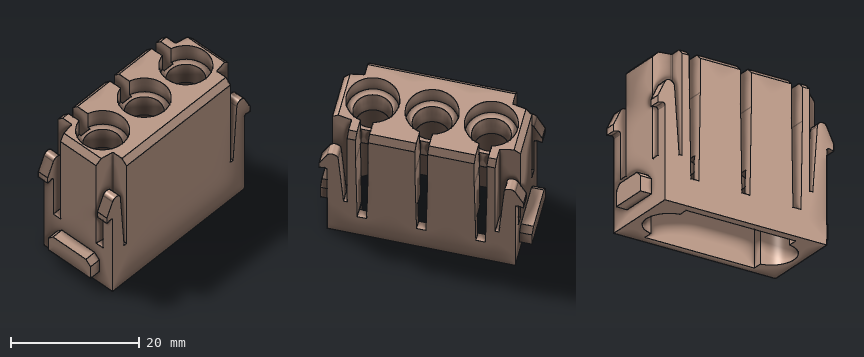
import cadquery as cq
import math

OVERALL_Y = 34.2
BODY_X = 14.65
BODY_Y = 30.15
BODY_Z = 27.1
TOP_CHAMFER = 1.0

CAVITY_PITCH = 9.5
CAVITY_COUNT = 3
BORE_DIAMETER = 8.4
NECK_ENTRY_DIAMETER = 6.22
NECK_DIAMETER = 5.6
NECK_TOP_Z = 23.97
NECK_BOTTOM_Z = 20.2

WALL_THICKNESS = 1.45
POCKET_X = BODY_X - 2 * WALL_THICKNESS
POCKET_Y = 20.4
POCKET_HEIGHT = 9.78

SLOT_DEPTH = 3.65
SLOT_TOP_WIDTH = 2.02
SLOT_BOTTOM_WIDTH = 1.5
SLOT_BOTTOM_Z = 4.9

RELIEF_FLOOR_Z = 8.48
RELIEF_DEPTH_Y = 3.2
RELIEF_ROOT_X = 4.38
RELIEF_MOUTH_X = 3.8
RELIEF_FILLET = 0.17

LATCH_WIDTH = 2.02
LATCH_ROOT_THICKNESS = 2.65
LATCH_NECK_THICKNESS = 1.78
LATCH_NECK_Z = 20.05
LATCH_TOP_Z = 20.93
LATCH_CREST_OFFSET = 0.8
LATCH_SHOULDER_Z = 20.42
HOOK_REACH = 1.3
HOOK_TOP_Z = 17.7
HOOK_BOTTOM_Z = 16.52
HOOK_FILLET = 0.4

FRONT_KEY_WIDTH = 9.0
REAR_KEY_WIDTH = 6.9
KEY_BOTTOM_Z = 2.53
KEY_HEIGHT = 3.63
KEY_CHAMFER = 1.0
KEY_LENGTH = (OVERALL_Y - BODY_Y) / 2

END_Y = BODY_Y / 2
SIDE_X = BODY_X / 2
CAVITY_YS = [(i - (CAVITY_COUNT - 1) / 2) * CAVITY_PITCH for i in range(CAVITY_COUNT)]


def four_corners(solid):
    """Copies of a solid from the +X +Y corner, mirrored to every corner."""
    pair = solid.union(solid.mirror("YZ"))
    return pair.union(pair.mirror("XZ"))


def block():
    solid = cq.Workplane("XY").box(BODY_X, BODY_Y, BODY_Z, centered=(True, True, False))
    return solid.faces(">Z").chamfer(TOP_CHAMFER)


def corner_relief():
    inner_y = END_Y - RELIEF_DEPTH_Y
    relief = (
        cq.Workplane("XY")
        .workplane(offset=RELIEF_FLOOR_Z)
        .moveTo(RELIEF_ROOT_X, inner_y)
        .lineTo(SIDE_X, inner_y)
        .lineTo(SIDE_X, END_Y)
        .lineTo(RELIEF_MOUTH_X, END_Y)
        .close()
        .extrude(BODY_Z - RELIEF_FLOOR_Z)
    )
    root_corner = cq.selectors.NearestToPointSelector((RELIEF_ROOT_X, inner_y, BODY_Z / 2))
    return relief.edges("|Z").edges(root_corner).fillet(RELIEF_FILLET)


def latch():
    """Arm in the +X +Y corner: tapered blade, rounded crest and outward hook."""
    fillet_mid = HOOK_FILLET * (1 - math.sqrt(0.5))
    return (
        cq.Workplane("YZ")
        .workplane(offset=SIDE_X - LATCH_WIDTH)
        .moveTo(END_Y, RELIEF_FLOOR_Z)
        .lineTo(END_Y, HOOK_BOTTOM_Z - HOOK_FILLET / 2)
        .threePointArc(
            (END_Y + fillet_mid, HOOK_BOTTOM_Z + HOOK_FILLET / 2 - fillet_mid),
            (END_Y + HOOK_FILLET, HOOK_BOTTOM_Z + HOOK_FILLET / 2),
        )
        .lineTo(END_Y + HOOK_REACH, HOOK_BOTTOM_Z)
        .lineTo(END_Y + HOOK_REACH, HOOK_TOP_Z)
        .lineTo(END_Y, LATCH_SHOULDER_Z)
        .threePointArc(
            (END_Y - LATCH_CREST_OFFSET, LATCH_TOP_Z),
            (END_Y - LATCH_NECK_THICKNESS, LATCH_NECK_Z),
        )
        .lineTo(END_Y - LATCH_ROOT_THICKNESS, RELIEF_FLOOR_Z)
        .close()
        .extrude(LATCH_WIDTH)
    )


def key(width):
    """Bar on the +Y end face with its two upper corners bevelled."""
    bar = cq.Workplane("XY").box(width, KEY_LENGTH, KEY_HEIGHT, centered=(True, False, False))
    bar = bar.edges("|Y and >Z").chamfer(KEY_CHAMFER)
    return bar.translate((0, END_Y, KEY_BOTTOM_Z))


def cavity():
    """Revolved void on the Z axis: main bore, conical neck and top entry."""
    bore = BORE_DIAMETER / 2
    return (
        cq.Workplane("XZ")
        .moveTo(0, 0)
        .lineTo(bore, 0)
        .lineTo(bore, NECK_BOTTOM_Z)
        .lineTo(NECK_DIAMETER / 2, NECK_BOTTOM_Z)
        .lineTo(NECK_ENTRY_DIAMETER / 2, NECK_TOP_Z)
        .lineTo(bore, NECK_TOP_Z)
        .lineTo(bore, BODY_Z)
        .lineTo(0, BODY_Z)
        .close()
        .revolve(360, (0, 0, 0), (0, 1, 0))
    )


def side_slot():
    top = SLOT_TOP_WIDTH / 2
    bottom = SLOT_BOTTOM_WIDTH / 2
    outline = [
        (-bottom, SLOT_BOTTOM_Z),
        (bottom, SLOT_BOTTOM_Z),
        (top, NECK_BOTTOM_Z),
        (top, BODY_Z),
        (-top, BODY_Z),
        (-top, NECK_BOTTOM_Z),
    ]
    return cq.Workplane("YZ").workplane(offset=-SIDE_X).polyline(outline).close().extrude(SLOT_DEPTH)


def underside_pocket():
    return cq.Workplane("XY").box(POCKET_X, POCKET_Y, POCKET_HEIGHT, centered=(True, True, False))


result = block().cut(four_corners(corner_relief())).union(four_corners(latch()))
result = result.union(key(REAR_KEY_WIDTH)).union(key(FRONT_KEY_WIDTH).mirror("XZ"))
result = result.cut(underside_pocket())
for cavity_y in CAVITY_YS:
    result = result.cut(cavity().translate((0, cavity_y, 0)))
    result = result.cut(side_slot().translate((0, cavity_y, 0)))